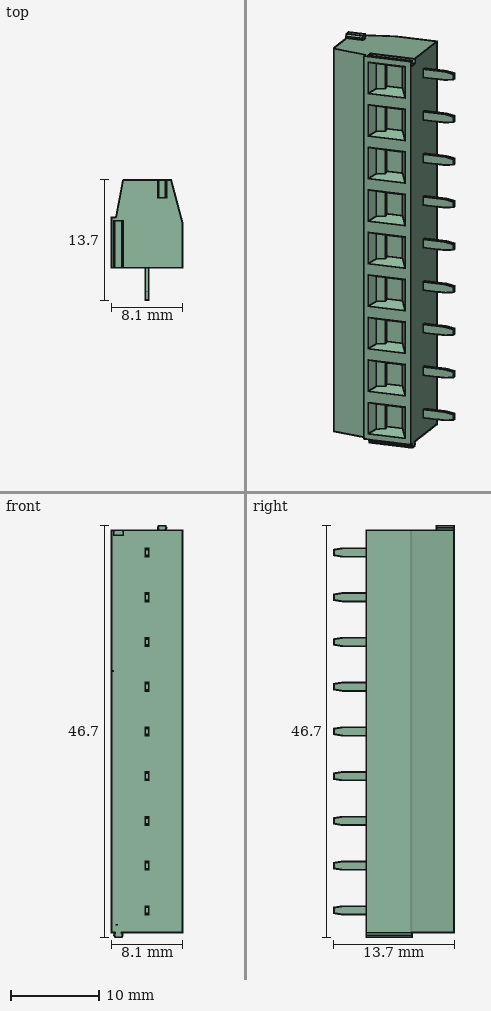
import cadquery as cq

pole_count = 9
body_width = 8.1
body_depth = 10.0
tip_tab_height = 0.5
foot_tab_height = 0.5
total_length = 46.7
body_length = total_length - tip_tab_height - foot_tab_height
pitch = body_length / pole_count

shelf_y = 5.75
shelf_width = 0.5
left_top_x = 1.3
right_top_x = 6.77
right_shoulder_y = 5.1
edge_radius = 0.2

tab_width = 1.05
tab_flare = 0.15
foot_tab_x = 0.8
foot_tab_length = 5.25
tip_tab_x = 5.75
tip_tab_length = 2.0
socket_length = 5.35
socket_depth = 0.6
socket_width = 1.07
socket_lip = 0.1

entry_bottom_y = 0.7
entry_top_y = 5.25
entry_height = 3.75
entry_depth = 1.55
entry_ramp = 0.6
entry_floor_y = 1.65
step_y = 3.55
step_x = 1.1
entry_bend_x = 0.95
entry_bend_y = 4.6

pin_thickness = 0.4
pin_width = 1.0
pin_length = 3.65
pin_tip_length = 1.0
pin_tip_width = 0.65


def make_body():
    outline = [
        (0, 0),
        (body_width, 0),
        (body_width, right_shoulder_y),
        (right_top_x, body_depth),
        (left_top_x, body_depth),
        (shelf_width, shelf_y),
        (0, shelf_y),
    ]
    body = cq.Workplane("XY").polyline(outline).close().extrude(body_length)
    slope_ends = [(shelf_width, shelf_y), (left_top_x, body_depth)]
    for x, y in slope_ends:
        nearest = cq.selectors.NearestToPointSelector((x, y, body_length / 2))
        body = body.edges("|Z").edges(nearest).fillet(edge_radius)
    return body


def make_tab(center_x, y_start, length, z_root, height):
    """Hexagonal rail along Y; a negative height makes it hang below z_root."""
    half = tab_width / 2
    half_narrow = half - tab_flare
    z_mid = z_root + height / 2
    z_tip = z_root + height
    profile = [
        (center_x - half_narrow, z_root),
        (center_x - half, z_mid),
        (center_x - half_narrow, z_tip),
        (center_x + half_narrow, z_tip),
        (center_x + half, z_mid),
        (center_x + half_narrow, z_root),
    ]
    plane = cq.Workplane("XZ", origin=(0, y_start, 0))
    return plane.polyline(profile).close().extrude(-length)


def make_socket():
    """Undercut groove in the +Z end, in line with the foot tab."""
    half = socket_width / 2
    half_mouth = half - tab_flare
    z_lip = body_length - socket_lip
    z_floor = body_length - socket_depth
    profile = [
        (foot_tab_x - half_mouth, body_length),
        (foot_tab_x - half, z_lip),
        (foot_tab_x - half, z_floor),
        (foot_tab_x + half, z_floor),
        (foot_tab_x + half, z_lip),
        (foot_tab_x + half_mouth, body_length),
    ]
    return cq.Workplane("XZ").polyline(profile).close().extrude(-socket_length)


def make_entry(z_center):
    """Wire entry: a stepped pocket whose Z walls close in like a funnel."""
    plan = [
        (0, entry_bottom_y),
        (entry_depth, entry_floor_y),
        (entry_depth, step_y),
        (step_x, step_y),
        (entry_bend_x, entry_bend_y),
        (0, entry_top_y),
    ]
    half = entry_height / 2
    half_inner = half - entry_ramp
    funnel = [
        (0, z_center - half),
        (entry_depth, z_center - half_inner),
        (entry_depth, z_center + half_inner),
        (0, z_center + half),
    ]
    pocket = cq.Workplane("XY").polyline(plan).close().extrude(body_length)
    walls = cq.Workplane("XZ").polyline(funnel).close().extrude(-body_depth)
    return pocket.intersect(walls)


def make_pin(z_center):
    """Flat pin with a tip tapered in Z."""
    half = pin_width / 2
    half_tip = pin_tip_width / 2
    taper_y = pin_tip_length - pin_length
    outline = [
        (0, z_center - half),
        (taper_y, z_center - half),
        (-pin_length, z_center - half_tip),
        (-pin_length, z_center + half_tip),
        (taper_y, z_center + half),
        (0, z_center + half),
    ]
    plane = cq.Workplane("YZ", origin=((body_width - pin_thickness) / 2, 0, 0))
    return plane.polyline(outline).close().extrude(pin_thickness)


result = make_body().cut(make_socket())

tip_tab_y = body_depth - tip_tab_length
tip_tab = make_tab(tip_tab_x, tip_tab_y, tip_tab_length, body_length, tip_tab_height)
foot_tab = make_tab(foot_tab_x, 0, foot_tab_length, 0, -foot_tab_height)
result = result.union(tip_tab).union(foot_tab)

for pole in range(pole_count):
    pole_z = (pole + 0.5) * pitch
    result = result.cut(make_entry(pole_z))
    result = result.union(make_pin(pole_z))